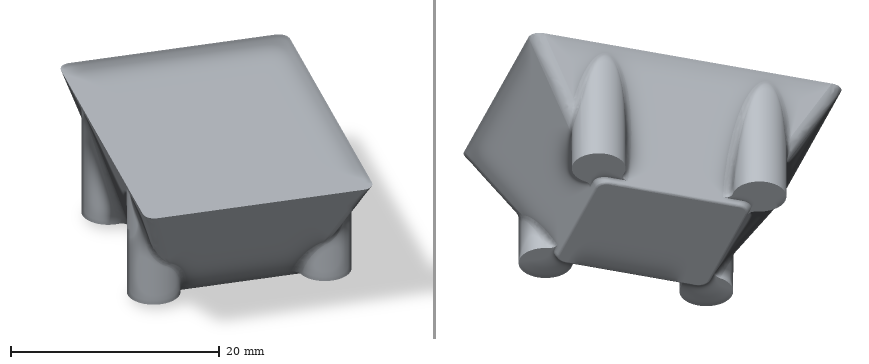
import cadquery as cq

TOP_LENGTH = 31.45
TOP_WIDTH = 22.86
HEIGHT = 13.08
BASE_LENGTH = 15.16
BASE_WIDTH = 14.3
CORNER_RADIUS = 1.27
BASE_EDGE_FILLET = 0.25

LEG_RADIUS = 2.59
LEG_OFFSET_X = 8.09
LEG_OFFSET_Y = 8.53
LEG_BOTTOM_Z = 0.58
LEG_FILLET = 0.762


def tapered_block():
    """Rectangular frustum with rounded corner edges."""
    return (
        cq.Workplane("XY")
        .rect(BASE_LENGTH, BASE_WIDTH)
        .workplane(offset=HEIGHT)
        .rect(TOP_LENGTH, TOP_WIDTH)
        .loft(ruled=True)
        .edges("not(#Z)")
        .fillet(CORNER_RADIUS)
    )


def full_height_legs():
    """Four upright cylinders from z = 0 to the top face."""
    return (
        cq.Workplane("XY")
        .rect(2 * LEG_OFFSET_X, 2 * LEG_OFFSET_Y, forConstruction=True)
        .vertices()
        .circle(LEG_RADIUS)
        .extrude(HEIGHT)
    )


def block_with_legs():
    """Block and legs joined, with a fillet along each seam, ending at the leg bottoms."""
    joined = tapered_block().union(full_height_legs())
    seams = joined.faces("%CYLINDER").edges("not(%CIRCLE)").edges("not(|Z)")
    above_leg_bottoms = (
        cq.Workplane("XY")
        .workplane(offset=LEG_BOTTOM_Z)
        .rect(2 * TOP_LENGTH, 2 * TOP_WIDTH)
        .extrude(HEIGHT)
    )
    return joined.newObject(seams.vals()).fillet(LEG_FILLET).intersect(above_leg_bottoms)


def block_with_soft_base():
    """Plain block with its lower edge broken by a small fillet."""
    return tapered_block().faces("<Z").edges().fillet(BASE_EDGE_FILLET)


result = block_with_legs().union(block_with_soft_base())